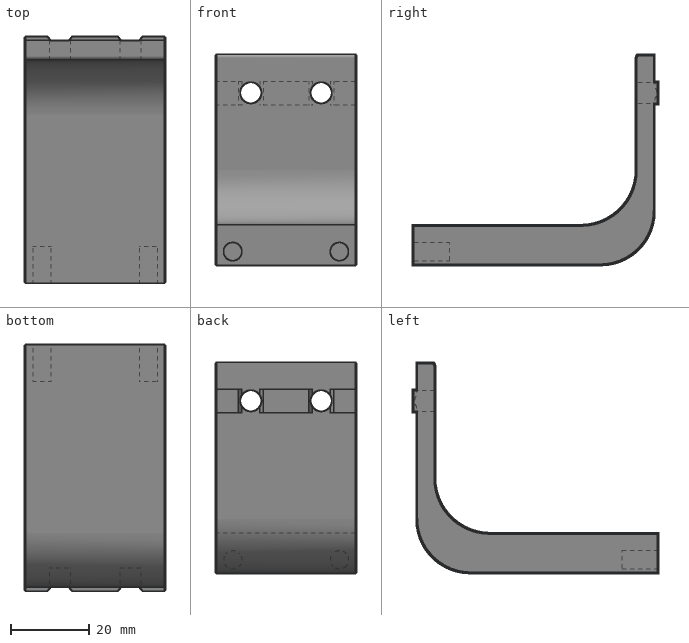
import cadquery as cq

width = 36.25
depth = 63.25
height = 54.2

floor_thickness = 10.5
wall_thickness = 5.0
bend_radius = 14.0
side_chamfer = 0.4
top_round = 0.95

wall_hole_diameter = 5.4
wall_hole_spacing = 18.0
wall_hole_z = height - 9.95

key_depth = 1.0
key_height = 6.0
key_gap_at_wall = 4.7
key_gap_flare = 0.8

floor_hole_diameter = 4.7
floor_hole_spacing = 27.3
floor_hole_z = 3.6
floor_hole_depth = 9.5

wall_back_y = depth - key_depth
wall_front_y = wall_back_y - wall_thickness
key_bottom_z = wall_hole_z - key_height / 2
key_top_z = wall_hole_z + key_height / 2


def bracket_body():
    """Side profile, key included, extruded across the width and bevelled around both sides."""
    body = (
        cq.Workplane("YZ", origin=(-width / 2, 0, 0))
        .lineTo(wall_back_y - bend_radius, 0)
        .radiusArc((wall_back_y, bend_radius), -bend_radius)
        .lineTo(wall_back_y, key_bottom_z)
        .lineTo(depth, key_bottom_z)
        .lineTo(depth, key_top_z)
        .lineTo(wall_back_y, key_top_z)
        .lineTo(wall_back_y, height)
        .lineTo(wall_front_y, height)
        .lineTo(wall_front_y, floor_thickness + bend_radius)
        .radiusArc((wall_front_y - bend_radius, floor_thickness), bend_radius)
        .lineTo(0, floor_thickness)
        .close()
        .extrude(width)
    )
    top_front_edge = cq.selectors.NearestToPointSelector((0, wall_front_y, height))
    body = body.edges(top_front_edge).fillet(top_round)
    return body.faces("<X or >X").edges().chamfer(side_chamfer)


def key_gap(x):
    """Flared notch that splits the key down to the back of the wall."""
    inner_half = key_gap_at_wall / 2
    outer_half = inner_half + key_gap_flare
    return (
        cq.Workplane("XY", origin=(x, 0, key_bottom_z))
        .polyline([
            (-inner_half, wall_back_y),
            (inner_half, wall_back_y),
            (outer_half, depth),
            (-outer_half, depth),
        ])
        .close()
        .extrude(key_height)
    )


def round_hole(diameter, x, start_y, z, length):
    """Cylinder running toward +Y; the XZ plane faces -Y, so its extrusion is negative."""
    return cq.Workplane("XZ", origin=(x, start_y, z)).circle(diameter / 2).extrude(-length)


result = bracket_body()
for side in (-1, 1):
    wall_hole_x = side * wall_hole_spacing / 2
    floor_hole_x = side * floor_hole_spacing / 2
    wall_hole = round_hole(
        wall_hole_diameter, wall_hole_x, wall_front_y, wall_hole_z, wall_thickness + key_depth
    )
    floor_hole = round_hole(floor_hole_diameter, floor_hole_x, 0, floor_hole_z, floor_hole_depth)
    result = result.cut(key_gap(wall_hole_x)).cut(wall_hole).cut(floor_hole)